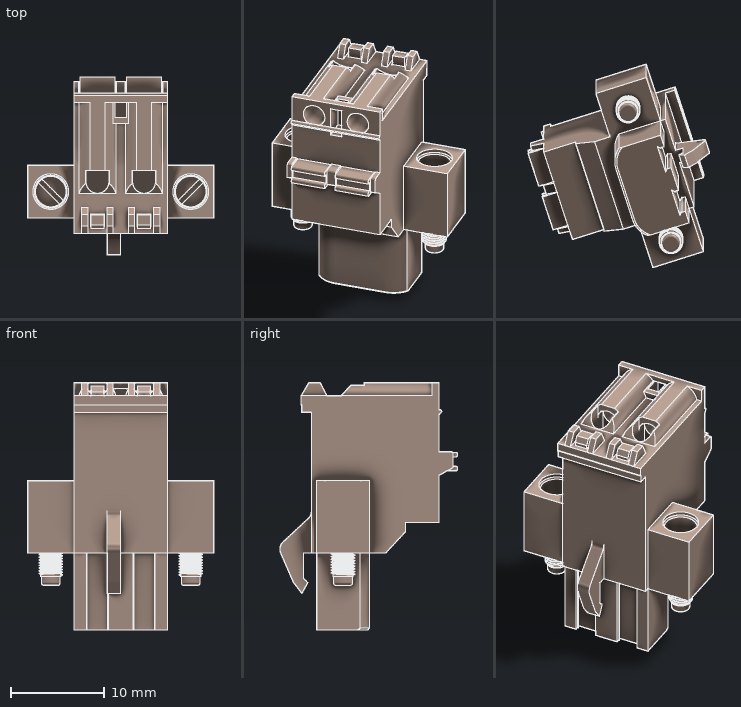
import cadquery as cq
import math


OVERALL_WIDTH = 20.0
HOUSING_WIDTH = 10.05
HALF_HOUSING = HOUSING_WIDTH / 2
POLE_X = 2.5
HOUSING_BACK = 13.73
HOUSING_BOTTOM = 8.27
DECK_Z = 25.2
TOP_Z = 26.6

PLUG_FRONT = 0.55
PLUG_BACK = 6.25
PLUG_SHOULDER_Y = 5.25
PLUG_BACK_RADIUS = 2.77
PLUG_LEAD_IN = 0.2
GROOVE_WIDTH = 2.4
GROOVE_DEPTH = 0.37
DOVETAIL_MOUTH = 2.2
DOVETAIL_FLOOR = 2.93
DOVETAIL_BOTTOM_DEPTH = 0.7

BACK_WALL_FRONT = 12.95
RIB_RADIUS = 2.02
RIB_AXIS_Z = 24.75
RIB_STEP_Y = 5.67
RIB_STEP_Z = 26.3
RIB_SLOPE_Y = 4.25
RIB_END_Y = 3.2
ENTRY_RADIUS = 1.22
ENTRY_CENTRE_Y = RIB_STEP_Y - ENTRY_RADIUS
ENTRY_BACK_Y = 6.92
ENTRY_FLOOR_Z = 19.95

BRIDGE_WIDTH = 1.65
BRIDGE_FRONT = 10.72
BRIDGE_TOP_Z = 25.94
TEST_HOLE_WIDTH = 1.28
TEST_HOLE_FRONT = 11.38
TEST_HOLE_DEPTH = 3.2

POST_WIDTH = 0.66
POST_SPACING = 2.7
BUTTON_WIDTH = 1.38
BUTTON_BACK = 0.9
BUTTON_TOP = 26.23
BUTTON_GAP = 0.08
BUTTON_GAP_FRONT = -0.32
BUTTON_GAP_DEPTH = 0.27

BRACKET_BACK = 15.25
BRACKET_TOP = 19.18
BRACKET_SLOPE_TOP = 17.48
BRACKET_BOTTOM = 16.62
BRACKET_EDGE_RADIUS = 0.27
LEVER_SLOT_WIDTH = 4.0
LEVER_WIDTH = 3.78
LEVER_BACK = 15.72
LEVER_TOP = 19.1
LEVER_BOTTOM = 17.1
LEVER_LIP = 0.5
LEVER_EDGE_RADIUS = 0.2

LATCH_CENTRE_X = -0.75
LATCH_WIDTH = 1.44

FLANGE_TOP = 16.07
FLANGE_WIDTH = (OVERALL_WIDTH - HOUSING_WIDTH) / 2
SCREW_X = HALF_HOUSING + FLANGE_WIDTH / 2
SCREW_Y = (PLUG_FRONT + PLUG_BACK) / 2
BORE_RADIUS = 1.75
BORE_DEPTH = 3.72
MOUTH_RADIUS = 1.92
MOUTH_DEPTH = 0.4
MOUTH_CONE = MOUTH_RADIUS - BORE_RADIUS
HEAD_GAP_DEPTH = 0.53
HEAD_RADIUS = 1.65
DRIVE_WIDTH = 0.55
DRIVE_DEPTH = 0.4
DRIVE_ANGLE = 45
THREAD_RADIUS = 1.28
THREAD_CORE = 1.1
THREAD_PITCH = 0.3
THREAD_TURNS = 8
TIP_RADIUS = 1.0
TIP_END_Z = 4.81
TIP_EDGE_RADIUS = 0.27


def box(x_min, x_max, y_min, y_max, z_min, z_max):
    size = (x_max - x_min, y_max - y_min, z_max - z_min)
    return cq.Workplane("XY").box(*size, centered=False).translate((x_min, y_min, z_min))


def centred_box(centre_x, width, y_min, y_max, z_min, z_max):
    return box(centre_x - width / 2, centre_x + width / 2, y_min, y_max, z_min, z_max)


def extrude_side(outline, centre_x, width):
    """Extrude a closed outline of the YZ plane along X, centred on centre_x."""
    return outline.extrude(width / 2, both=True).translate((centre_x, 0, 0))


def side_plate(points, centre_x, width):
    return extrude_side(cq.Workplane("YZ").polyline(points).close(), centre_x, width)


def make_housing():
    lip_front = -1.12
    lower_lip_front = -1.05
    lip_step_z = 24.2
    lip_bottom = 23.38
    outline = (
        cq.Workplane("YZ")
        .moveTo(0, HOUSING_BOTTOM)
        .lineTo(0, lip_bottom)
        .lineTo(lower_lip_front, lip_bottom)
        .lineTo(lower_lip_front, lip_step_z)
        .lineTo(lip_front, lip_step_z)
        .lineTo(lip_front, DECK_Z)
        .lineTo(BACK_WALL_FRONT, DECK_Z)
        .lineTo(BACK_WALL_FRONT, TOP_Z)
        .lineTo(HOUSING_BACK, TOP_Z)
        .lineTo(HOUSING_BACK, 23.7)
        .threePointArc((13.95, 23.62), (14.02, 23.45))
        .lineTo(HOUSING_BACK, 23.15)
        .lineTo(HOUSING_BACK, 11.55)
        .lineTo(10.13, 11.55)
        .lineTo(10.13, 10.6)
        .lineTo(7.98, HOUSING_BOTTOM)
        .close()
    )
    return extrude_side(outline, 0, HOUSING_WIDTH)


def make_plug():
    arc_depth = PLUG_BACK - PLUG_SHOULDER_Y
    axis_y = PLUG_BACK - PLUG_BACK_RADIUS
    arc_width = math.sqrt(PLUG_BACK_RADIUS**2 - (PLUG_BACK_RADIUS - arc_depth) ** 2)
    axis_x = HALF_HOUSING - arc_width
    mid_angle = math.asin(arc_width / PLUG_BACK_RADIUS) / 2
    mid_x = axis_x + PLUG_BACK_RADIUS * math.sin(mid_angle)
    mid_y = axis_y + PLUG_BACK_RADIUS * math.cos(mid_angle)
    plug = (
        cq.Workplane("XY")
        .moveTo(-HALF_HOUSING, PLUG_FRONT)
        .lineTo(HALF_HOUSING, PLUG_FRONT)
        .lineTo(HALF_HOUSING, PLUG_SHOULDER_Y)
        .threePointArc((mid_x, mid_y), (axis_x, PLUG_BACK))
        .lineTo(-axis_x, PLUG_BACK)
        .threePointArc((-mid_x, mid_y), (-HALF_HOUSING, PLUG_SHOULDER_Y))
        .close()
        .extrude(HOUSING_BOTTOM)
    )
    margin = 0.27
    bottom_back_edges = cq.selectors.BoxSelector(
        (-HALF_HOUSING, PLUG_SHOULDER_Y, -margin), (HALF_HOUSING, PLUG_BACK + margin, margin)
    )
    plug = plug.edges(bottom_back_edges).chamfer(PLUG_LEAD_IN)

    step_y = PLUG_FRONT + GROOVE_DEPTH
    floor_y = PLUG_FRONT + DOVETAIL_BOTTOM_DEPTH
    for x in (-POLE_X, POLE_X):
        dovetail = (
            cq.Workplane("XY", origin=(x, 0, 0))
            .polyline(
                [
                    (-DOVETAIL_MOUTH / 2, step_y),
                    (DOVETAIL_MOUTH / 2, step_y),
                    (DOVETAIL_FLOOR / 2, floor_y),
                    (-DOVETAIL_FLOOR / 2, floor_y),
                ]
            )
            .close()
            .extrude(HOUSING_BOTTOM)
        )
        plug = plug.cut(centred_box(x, GROOVE_WIDTH, PLUG_FRONT, step_y, 0, HOUSING_BOTTOM)).cut(dovetail)
    return plug


def make_rib(x):
    length = BACK_WALL_FRONT - RIB_END_Y
    barrel = (
        cq.Workplane("XZ", origin=(x, BACK_WALL_FRONT, RIB_AXIS_Z))
        .circle(RIB_RADIUS)
        .extrude(length)
    )
    envelope = side_plate(
        [
            (BACK_WALL_FRONT, DECK_Z),
            (BACK_WALL_FRONT, TOP_Z),
            (RIB_STEP_Y, TOP_Z),
            (RIB_STEP_Y, RIB_STEP_Z),
            (RIB_SLOPE_Y, RIB_STEP_Z),
            (RIB_END_Y, DECK_Z),
        ],
        x,
        2 * RIB_RADIUS,
    )
    return barrel.intersect(envelope)


def make_wire_entry(x):
    """Open shaft with a round front end, and an arched tunnel under the rib to the back of the housing."""
    shaft = (
        cq.Workplane("XY", origin=(x, ENTRY_CENTRE_Y, ENTRY_FLOOR_Z))
        .circle(ENTRY_RADIUS)
        .extrude(TOP_Z - ENTRY_FLOOR_Z)
    )
    mouth = centred_box(x, 2 * ENTRY_RADIUS, ENTRY_CENTRE_Y, RIB_STEP_Y, ENTRY_FLOOR_Z, TOP_Z)
    tail = centred_box(x, 2 * ENTRY_RADIUS, RIB_STEP_Y, ENTRY_BACK_Y, ENTRY_FLOOR_Z, RIB_AXIS_Z)
    tunnel = (
        cq.Workplane("XZ", origin=(x, HOUSING_BACK, RIB_AXIS_Z))
        .circle(ENTRY_RADIUS)
        .extrude(HOUSING_BACK - ENTRY_CENTRE_Y)
    )
    return shaft.union(mouth).union(tail).union(tunnel)


def make_bridge():
    return centred_box(0, BRIDGE_WIDTH, BRIDGE_FRONT, BACK_WALL_FRONT, DECK_Z, BRIDGE_TOP_Z)


def make_test_hole():
    """Opening behind the bridge that leads out through the back wall."""
    return centred_box(
        0, TEST_HOLE_WIDTH, TEST_HOLE_FRONT, HOUSING_BACK, BRIDGE_TOP_Z - TEST_HOLE_DEPTH, BRIDGE_TOP_Z
    )


def make_post(x):
    outline = [(-1.1, DECK_Z), (-0.27, TOP_Z), (0.95, TOP_Z), (1.68, DECK_Z)]
    return side_plate(outline, x, POST_WIDTH)


def make_button(x):
    outline = [
        (-0.55, DECK_Z),
        (-0.55, 25.6),
        (-0.19, BUTTON_TOP),
        (BUTTON_BACK, BUTTON_TOP),
        (BUTTON_BACK, DECK_Z),
    ]
    return side_plate(outline, x, BUTTON_WIDTH)


def make_button_gap(x):
    """Narrow groove in the deck along the sides and the back of a button."""
    floor_z = DECK_Z - BUTTON_GAP_DEPTH
    back = BUTTON_BACK + BUTTON_GAP
    pocket = centred_box(x, BUTTON_WIDTH + 2 * BUTTON_GAP, BUTTON_GAP_FRONT, back, floor_z, DECK_Z)
    core = centred_box(x, BUTTON_WIDTH, BUTTON_GAP_FRONT, BUTTON_BACK, floor_z, DECK_Z)
    return pocket.cut(core)


def make_bracket():
    bracket = side_plate(
        [
            (HOUSING_BACK, BRACKET_BOTTOM),
            (BRACKET_BACK, BRACKET_SLOPE_TOP),
            (BRACKET_BACK, BRACKET_TOP),
            (HOUSING_BACK, BRACKET_TOP),
        ],
        0,
        HOUSING_WIDTH,
    )
    bracket = bracket.edges("|X and >Y and >Z").fillet(BRACKET_EDGE_RADIUS)
    for x in (-POLE_X, POLE_X):
        bracket = bracket.cut(
            centred_box(x, LEVER_SLOT_WIDTH, HOUSING_BACK, BRACKET_BACK, HOUSING_BOTTOM, BRACKET_TOP)
        )
    return bracket


def make_lever(x):
    lever = centred_box(x, LEVER_WIDTH, HOUSING_BACK, LEVER_BACK, LEVER_BOTTOM, LEVER_TOP)
    recess = centred_box(
        x, LEVER_WIDTH, BRACKET_BACK, LEVER_BACK, LEVER_BOTTOM + LEVER_LIP, LEVER_TOP - LEVER_LIP
    )
    return lever.cut(recess).edges("|X and >Y").fillet(LEVER_EDGE_RADIUS)


def make_latch():
    outline = (
        cq.Workplane("YZ")
        .moveTo(0, HOUSING_BOTTOM)
        .lineTo(0, 12.8)
        .threePointArc((-0.08, 12.37), (-0.32, 12.02))
        .lineTo(-3.15, 9.4)
        .threePointArc((-3.38, 8.83), (-3.3, HOUSING_BOTTOM))
        .lineTo(-1.95, 5.15)
        .lineTo(-1.0, 3.95)
        .lineTo(-0.37, 5.1)
        .lineTo(-0.82, 5.55)
        .lineTo(-0.82, HOUSING_BOTTOM)
        .close()
    )
    return extrude_side(outline, LATCH_CENTRE_X, LATCH_WIDTH)


def make_thread():
    """Helical ridge that overlaps the core of the screw."""
    overlap = 0.05
    root = THREAD_CORE - overlap
    land = 0.03
    root_half = (THREAD_PITCH - land) / 2
    start_z = HOUSING_BOTTOM - THREAD_TURNS * THREAD_PITCH
    helix = cq.Wire.makeHelix(THREAD_PITCH, THREAD_TURNS * THREAD_PITCH, root)
    ridge = (
        cq.Workplane("XZ")
        .polyline([(root, -root_half), (THREAD_RADIUS, 0), (root, root_half)])
        .close()
        .sweep(cq.Workplane(obj=helix), isFrenet=True)
    )
    return ridge.translate((0, 0, start_z))


def make_left_flange():
    flange = centred_box(-SCREW_X, FLANGE_WIDTH, PLUG_FRONT, PLUG_BACK, HOUSING_BOTTOM, FLANGE_TOP)

    floor_z = FLANGE_TOP - BORE_DEPTH
    head_foot_z = floor_z - HEAD_GAP_DEPTH
    cone_z = FLANGE_TOP - MOUTH_DEPTH
    clearance = (
        cq.Workplane("XZ")
        .polyline(
            [
                (HEAD_RADIUS, head_foot_z),
                (BORE_RADIUS, head_foot_z),
                (BORE_RADIUS, cone_z - MOUTH_CONE),
                (MOUTH_RADIUS, cone_z),
                (MOUTH_RADIUS, FLANGE_TOP),
                (0, FLANGE_TOP),
                (0, floor_z),
                (HEAD_RADIUS, floor_z),
            ]
        )
        .close()
        .revolve(360, (0, 0, 0), (0, 1, 0))
    )
    drive = (
        centred_box(0, DRIVE_WIDTH, -HEAD_RADIUS, HEAD_RADIUS, floor_z - DRIVE_DEPTH, floor_z)
        .rotate((0, 0, 0), (0, 0, 1), DRIVE_ANGLE)
    )

    thread_end_z = HOUSING_BOTTOM - THREAD_TURNS * THREAD_PITCH - THREAD_PITCH / 2
    core = (
        cq.Workplane("XY", origin=(0, 0, thread_end_z))
        .circle(THREAD_CORE)
        .extrude(HOUSING_BOTTOM - thread_end_z)
    )
    tip = (
        cq.Workplane("XY", origin=(0, 0, TIP_END_Z))
        .circle(TIP_RADIUS)
        .extrude(thread_end_z - TIP_END_Z)
        .faces("<Z")
        .edges()
        .fillet(TIP_EDGE_RADIUS)
    )
    shank = core.union(make_thread()).union(tip)

    place = (-SCREW_X, SCREW_Y, 0)
    return flange.union(shank.translate(place)).cut(clearance.translate(place)).cut(drive.translate(place))


body = make_housing().union(make_plug()).union(make_bracket()).union(make_latch())
body = body.union(make_bridge())
for pole in (-POLE_X, POLE_X):
    body = body.union(make_rib(pole)).cut(make_wire_entry(pole))
    body = body.union(make_button(pole)).cut(make_button_gap(pole)).union(make_lever(pole))
    for side in (-1, 1):
        body = body.union(make_post(pole + side * POST_SPACING / 2))
body = body.cut(make_test_hole())

left_flange = make_left_flange()
result = body.union(left_flange).union(left_flange.mirror("YZ"))